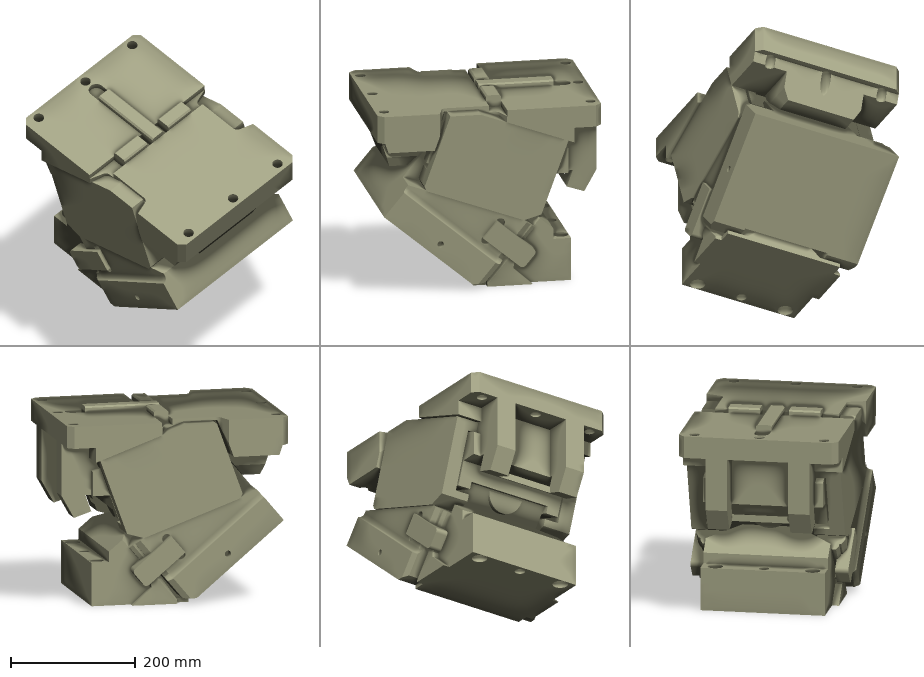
import cadquery as cq
import math

GUIDE_NORMAL_ANGLE = 40
RAMP_ANGLE = 20
REACH = 1095
CLEARANCE = 1.5

LENGTH = 365.0
HALF_WIDTH = 130.0
PLATE_TOP = 299.5
PLATE_FRONT_BOTTOM = 264.0
PLATE_REAR_BOTTOM = 254.5
PLATE_CORNER = 10.0
WING_BOTTOM = 238.7
WING_REAR, WING_REAR_BOTTOM = 354.0, 348.5
BODY_FRONT = 45.3
LEG_INNER, LEG_OUTER = 49.5, 84.5
LEG_BOTTOM = 179.0
LEG_TIP = [(20.5, 142.5), (49.0, 152.0), (39.0, LEG_BOTTOM)]
RAIL_HALF_WIDTH = 97.5
RAIL_FRONT = 48.0
RAIL_BOTTOM_LIFT, RAIL_TOP_LIFT = 100.5, 189.0
RAIL_END_RUN = 335.0
RAIL_REAR_X = 255.5
STOP_RUN = 338.5
STOP_BOTTOM, STOP_REAR = 195.0, 334.0
STOP_HALF_WIDTH = 69.5
STOP_CHAMFER_HEIGHT, STOP_CHAMFER_WIDTH = 18.0, 10.2
NOTCH_FRONT, NOTCH_REAR = 155.0, 265.0
NOTCH_TAPER = 9.5
NOTCH_INNER = 100.7
NOTCH_FILLET = 9.0
PLATE_HOLE_RADIUS = 8.5
FRONT_HOLE_X, FRONT_HOLE_Y = 14.2, 105.5
REAR_HOLE_X, REAR_HOLE_Y = 350.5, 100.5

KEY_TOP = 309.0
KEYWAY_BOTTOM = 289.5
KEYWAY_FRONT, KEYWAY_REAR = 154.8, 179.2
LONG_KEY_FRONT, LONG_KEYWAY_FRONT = 56.5, 26.5
LONG_KEY_HALF_WIDTH = 12.5
SIDE_KEY_INNER, SIDE_KEY_OUTER = 23.7, 75.0
KEY_CHAMFER = 2.5

CHEEK_HALF_WIDTH = 125.2
CHEEK_TOP = 293.0
CHEEK_FRONT_RUN, CHEEK_REAR_RUN = 133.2, 332.0
CHEEK_BOTTOM_LIFT, CHEEK_TOP_LIFT = 62.0, 208.0
CHEEK_TOE_RUN, CHEEK_TOE_LIFT = 157.0, 79.5
CHEEK_CORNER = 6.0
CHANNEL_HALF_WIDTH = 100.5
CHANNEL_FLOOR_LIFT, CHANNEL_TOP_LIFT = 91.2, 190.5
TONGUE_HALF_WIDTH = 75.0
TONGUE_LIFT = 112.5
BOSS_RADIUS = 31.8
BOSS_FRONT_RUN, BOSS_REAR_RUN = 143.5, 182.5
FLANK_HALF_WIDTH = 121.0
SLIDE_REAR_RISE = 357.5
SLIDE_TIP_Z = 11.0
SLIDE_BOTTOM_CLIMB = -127.8
JAW_TOP_CLIMB = 4.5
JAW_LEDGE_CLIMB = -68.5
JAW_UNDERSIDE_RISE, JAW_EDGE_RISE = 152.5, 161.7
JAW_CHAMFER = 5.5
TOOTH_TIP_RISE, TOOTH_EDGE_RISE = 142.0, 148.5
TOOTH_HALF_WIDTH = 112.8
TOOTH_CHAMFER = 4.0
JAW_HOLE_X, JAW_HOLE_Z = 263.5, 81.0
JAW_HOLE_RADIUS, JAW_HOLE_DEPTH = 5.0, 18.2
KEEPER_LOW_RISE, KEEPER_HIGH_RISE = 119.0, 203.5
KEEPER_LOW_CLIMB, KEEPER_HIGH_CLIMB = -58.5, -22.5
KEEPER_INNER, KEEPER_OUTER = 107.0, 128.5
KEEPER_CORNER = 6.5
RELIEF_RADIUS = 7.5
RELIEF_DEPTH = 7.3

BASE_HALF_WIDTH = 101.5
BASE_FRONT, BASE_REAR = 45.3, 205.0
BASE_REAR_TOP = 36.5
STEP_X = 74.0
STEP_LOW_Z, STEP_HIGH_Z = 70.5, 88.0
GUIDE_TOP_CLIMB = 19.53
RIDGE_RISE, EAVE_RISE = 172.3, 142.0
RIDGE_HALF_WIDTH = 45.3
LIP_HALF_WIDTH = 112.8
LIP_FRONT = 110.2
LIP_REAR, LIP_REAR_TOP = 184.0, 7.3
LIP_EDGE = [(126.3, -69.5), (131.5, -62.0), (129.5, -56.5), (150.5, -56.5)]
LIP_SECTION = [(0, LIP_HALF_WIDTH), (143.5, LIP_HALF_WIDTH), (150.5, 100.7)]
FOOT_TOP = 6.5
BOLT_HOLE_X, BOLT_HOLE_Y = 58.0, 79.2
BOLT_HOLE_RADIUS, DOWEL_HOLE_RADIUS = 12.5, 8.5


def turned_point(along, across, angle):
    """(x, z) of a point given along and square to a line at this angle from X."""
    turn = math.radians(angle)
    return (
        along * math.cos(turn) - across * math.sin(turn),
        along * math.sin(turn) + across * math.cos(turn),
    )


def guide_point(rise, climb):
    return turned_point(rise, climb, GUIDE_NORMAL_ANGLE)


def ramp_point(run, lift):
    return turned_point(run, lift, RAMP_ANGLE)


def lift_at_height(run, z):
    """Lift at which the line of constant run reaches height z."""
    turn = math.radians(RAMP_ANGLE)
    return (z - run * math.sin(turn)) / math.cos(turn)


def run_at_height(lift, z):
    """Run at which the line of constant lift reaches height z."""
    turn = math.radians(RAMP_ANGLE)
    return (z - lift * math.cos(turn)) / math.sin(turn)


def prism(points, half_width):
    """Outline in XZ, extruded equally to both sides of the middle plane."""
    return cq.Workplane("XZ").polyline(points).close().extrude(half_width, both=True)


def both_sides(feature):
    """A feature on the -Y side together with its mirror image."""
    return feature.union(feature.mirror("XZ"))


def side_prism(points, inner, outer):
    """Outline in XZ, extruded from y = -inner to y = -outer."""
    return cq.Workplane("XZ", origin=(0, -inner, 0)).polyline(points).close().extrude(outer - inner)


def box(x_range, y_range, z_range):
    size = [high - low for low, high in (x_range, y_range, z_range)]
    low_corner = (x_range[0], y_range[0], z_range[0])
    return cq.Workplane("XY").box(*size, centered=False).translate(low_corner)


def rectangle(point, along_range, across_range):
    """Corners of a rectangle laid out with guide_point or ramp_point."""
    (low, high), (bottom, top) = along_range, across_range
    return [point(low, bottom), point(high, bottom), point(high, top), point(low, top)]


def guide_block(rise_range, climb_range, half_width):
    return prism(rectangle(guide_point, rise_range, climb_range), half_width)


def ramp_block(run_range, lift_range, half_width):
    return prism(rectangle(ramp_point, run_range, lift_range), half_width)


def guide_section(half_points):
    """Half outline in (rise, y), closed by its mirror image and extruded endlessly along the guide."""
    rise_x, rise_z = guide_point(1, 0)
    plane = cq.Plane(origin=(0, 0, 0), xDir=(rise_x, 0, rise_z), normal=(rise_z, 0, -rise_x))
    points = half_points + [(rise, -y) for rise, y in reversed(half_points)]
    return cq.Workplane(plane).polyline(points).close().extrude(REACH, both=True)


def rod(radius, start, end, y=0):
    """Cylinder between two (x, z) points."""
    axis = cq.Vector(end[0] - start[0], 0, end[1] - start[1])
    return cq.Workplane(cq.Solid.makeCylinder(radius, axis.Length, cq.Vector(start[0], y, start[1]), axis))


def side_hole(radius, center, outer, depth):
    """Round cutter on the -Y side, going in from y = -outer to this depth."""
    x, z = center
    cutter = cq.Workplane("XZ", origin=(x, depth - outer, z)).circle(radius)
    return cutter.extrude(depth)


def make_plate():
    outline = [
        (0, PLATE_TOP),
        (LENGTH, PLATE_TOP),
        (LENGTH, PLATE_REAR_BOTTOM),
        (WING_REAR, PLATE_REAR_BOTTOM),
        (WING_REAR_BOTTOM, WING_BOTTOM),
        (BODY_FRONT, WING_BOTTOM),
        (BODY_FRONT, PLATE_FRONT_BOTTOM),
        (0, PLATE_FRONT_BOTTOM),
    ]
    plate = prism(outline, HALF_WIDTH)
    return plate.edges("|Z").edges("<X or >X").chamfer(PLATE_CORNER)


def make_cheek_room():
    """Space under the wings in which the slide's cheeks move."""
    room = ramp_block((0, STOP_RUN), (0, CHEEK_TOP_LIFT + CLEARANCE), HALF_WIDTH)
    below_top = box((0, LENGTH), (-HALF_WIDTH, -LEG_OUTER), (0, CHEEK_TOP + CLEARANCE))
    return both_sides(room.intersect(below_top))


def make_notches():
    """Tapered notches in both long edges of the plate, over the cheeks."""
    outline = [
        (NOTCH_FRONT, -HALF_WIDTH),
        (NOTCH_FRONT + NOTCH_TAPER, -NOTCH_INNER),
        (NOTCH_REAR - NOTCH_TAPER, -NOTCH_INNER),
        (NOTCH_REAR, -HALF_WIDTH),
    ]
    notch = cq.Workplane("XY").polyline(outline).close().extrude(PLATE_TOP)
    return both_sides(notch.edges("|Z and >Y").fillet(NOTCH_FILLET))


def make_rail():
    """Neck and T-shaped rail that run in the slide's channel, with its feet beside the tongue."""
    outline = [
        (BODY_FRONT, PLATE_FRONT_BOTTOM),
        (BODY_FRONT, LEG_BOTTOM),
        ramp_point(CHEEK_FRONT_RUN, lift_at_height(CHEEK_FRONT_RUN, LEG_BOTTOM)),
        ramp_point(CHEEK_FRONT_RUN, RAIL_BOTTOM_LIFT),
        ramp_point(RAIL_END_RUN, RAIL_BOTTOM_LIFT),
        ramp_point(RAIL_END_RUN, RAIL_TOP_LIFT),
        (RAIL_REAR_X, PLATE_FRONT_BOTTOM),
    ]
    neck = prism(outline, LEG_OUTER)
    below_lips = ramp_block((0, REACH), (0, RAIL_TOP_LIFT), RAIL_HALF_WIDTH)
    behind_front = box((RAIL_FRONT, LENGTH), (-RAIL_HALF_WIDTH, RAIL_HALF_WIDTH), (0, PLATE_TOP))
    flanges = prism(outline, RAIL_HALF_WIDTH).intersect(below_lips).intersect(behind_front)
    rail = neck.union(flanges)
    tongue_room = ramp_block((0, REACH), (0, TONGUE_LIFT), TONGUE_HALF_WIDTH)
    return rail.cut(tongue_room)


def make_legs():
    """Hooked front of the holder, split into two legs by a pocket that leaves a thin bar between them."""
    outline = [
        (0, PLATE_FRONT_BOTTOM),
        (0, LEG_BOTTOM),
        *LEG_TIP,
        (BODY_FRONT, LEG_BOTTOM),
        (BODY_FRONT, PLATE_FRONT_BOTTOM),
    ]
    pocket = box((0, BODY_FRONT), (-LEG_INNER, LEG_INNER), (0, PLATE_FRONT_BOTTOM))
    return prism(outline, LEG_OUTER).cut(pocket)


def make_stop():
    """Block under the rear of the plate, behind the slide."""
    stop = box((0, LENGTH), (-STOP_HALF_WIDTH, STOP_HALF_WIDTH), (STOP_BOTTOM, PLATE_REAR_BOTTOM))
    stop = stop.faces("<Y or >Y").edges("<Z").chamfer(STOP_CHAMFER_HEIGHT, STOP_CHAMFER_WIDTH)
    outline = [
        ramp_point(STOP_RUN, RAIL_TOP_LIFT),
        ramp_point(STOP_RUN, 0),
        (STOP_REAR, STOP_BOTTOM),
        (WING_REAR, PLATE_REAR_BOTTOM),
    ]
    stop = stop.intersect(prism(outline, STOP_HALF_WIDTH))
    slide_room = guide_block((0, SLIDE_REAR_RISE + CLEARANCE), (-REACH, REACH), STOP_HALF_WIDTH)
    return stop.cut(slide_room)


def make_keyways():
    z_range = (KEYWAY_BOTTOM, PLATE_TOP)
    round_end_x = LONG_KEYWAY_FRONT + LONG_KEY_HALF_WIDTH
    across = box((KEYWAY_FRONT, KEYWAY_REAR), (-HALF_WIDTH, HALF_WIDTH), z_range)
    along = box((round_end_x, KEYWAY_REAR), (-LONG_KEY_HALF_WIDTH, LONG_KEY_HALF_WIDTH), z_range)
    round_end = cq.Workplane("XY", origin=(round_end_x, 0, KEYWAY_BOTTOM)).circle(LONG_KEY_HALF_WIDTH)
    return across.union(along).union(round_end.extrude(PLATE_TOP - KEYWAY_BOTTOM))


def make_keys():
    z_range = (KEYWAY_BOTTOM, KEY_TOP)
    long_key = box((LONG_KEY_FRONT, KEYWAY_REAR), (-LONG_KEY_HALF_WIDTH, LONG_KEY_HALF_WIDTH), z_range)
    long_key = long_key.edges(">Z and |X").chamfer(KEY_CHAMFER)
    side_key = box((KEYWAY_FRONT, KEYWAY_REAR), (-SIDE_KEY_OUTER, -SIDE_KEY_INNER), z_range)
    side_key = side_key.edges(">Z and |Y").chamfer(KEY_CHAMFER)
    return long_key.union(both_sides(side_key))


def make_plate_holes():
    centers = [(FRONT_HOLE_X, side * FRONT_HOLE_Y) for side in (-1, 0, 1)]
    centers += [(REAR_HOLE_X, side * REAR_HOLE_Y) for side in (-1, 0, 1)]
    return cq.Workplane("XY").pushPoints(centers).circle(PLATE_HOLE_RADIUS).extrude(PLATE_TOP)


def make_holder():
    holder = make_plate().cut(make_cheek_room()).cut(make_notches())
    holder = holder.union(make_rail()).union(make_legs()).union(make_stop())
    holder = holder.cut(make_keyways()).union(make_keys())
    return holder.cut(make_plate_holes())


def make_base():
    """Block with a stepped front, a guide shaped like a roof and a thin foot under the guide's end."""
    outline = [
        (BASE_FRONT, 0),
        (BASE_FRONT, STEP_LOW_Z),
        (STEP_X, STEP_LOW_Z),
        (STEP_X, STEP_HIGH_Z),
        guide_point(RIDGE_RISE, GUIDE_TOP_CLIMB),
        (BASE_REAR, BASE_REAR_TOP),
        (BASE_REAR, 0),
    ]
    roof = [(0, BASE_HALF_WIDTH), (EAVE_RISE, BASE_HALF_WIDTH), (RIDGE_RISE, RIDGE_HALF_WIDTH)]
    base = prism(outline, BASE_HALF_WIDTH).intersect(guide_section(roof))
    foot = box((LIP_FRONT, BASE_REAR), (-BASE_HALF_WIDTH, BASE_HALF_WIDTH), (0, FOOT_TOP))
    return base.union(foot)


def make_lips():
    """Side lips low on the driver, under the keepers."""
    edge = [guide_point(rise, climb) for rise, climb in LIP_EDGE]
    outline = [(LIP_FRONT, 0), *edge, (LIP_REAR, LIP_REAR_TOP), (LIP_REAR, 0)]
    lip = side_prism(outline, RIDGE_HALF_WIDTH, LIP_HALF_WIDTH)
    return both_sides(lip).intersect(guide_section(LIP_SECTION))


def make_driver():
    driver = make_base().union(make_lips())
    bolt_centers = [(BOLT_HOLE_X, -BOLT_HOLE_Y), (BOLT_HOLE_X, BOLT_HOLE_Y)]
    bolt_holes = cq.Workplane("XY").pushPoints(bolt_centers).circle(BOLT_HOLE_RADIUS)
    dowel_hole = cq.Workplane("XY").center(BOLT_HOLE_X, 0).circle(DOWEL_HOLE_RADIUS)
    return driver.cut(bolt_holes.extrude(STEP_LOW_Z)).cut(dowel_hole.extrude(STEP_LOW_Z))


def make_cheeks():
    """Tilted upper block of the slide, whose two sides reach up through the plate's notches."""
    outline = [
        ramp_point(CHEEK_FRONT_RUN, CHEEK_TOP_LIFT),
        ramp_point(run_at_height(CHEEK_TOP_LIFT, CHEEK_TOP), CHEEK_TOP_LIFT),
        ramp_point(CHEEK_REAR_RUN, lift_at_height(CHEEK_REAR_RUN, CHEEK_TOP)),
        ramp_point(CHEEK_REAR_RUN, CHEEK_BOTTOM_LIFT + CHEEK_CORNER),
        ramp_point(CHEEK_REAR_RUN - CHEEK_CORNER, CHEEK_BOTTOM_LIFT),
        ramp_point(CHEEK_TOE_RUN, CHEEK_BOTTOM_LIFT),
        ramp_point(CHEEK_FRONT_RUN, CHEEK_TOE_LIFT),
    ]
    return prism(outline, CHEEK_HALF_WIDTH)


def jaw_section(half_width):
    """Body of this half width with chamfered lower edges and a narrower tooth beside the driver's eaves."""
    return guide_section(
        [
            (SLIDE_REAR_RISE, half_width),
            (JAW_EDGE_RISE, half_width),
            (JAW_UNDERSIDE_RISE, half_width - JAW_CHAMFER),
            (JAW_UNDERSIDE_RISE, TOOTH_HALF_WIDTH),
            (TOOTH_EDGE_RISE, TOOTH_HALF_WIDTH),
            (TOOTH_TIP_RISE, TOOTH_HALF_WIDTH - TOOTH_CHAMFER),
        ]
    )


def make_jaw_body():
    """Lower block that wraps the guide, with wide jaws whose upper ledges are rounded hollows."""
    jaws = guide_block((0, REACH), (SLIDE_BOTTOM_CLIMB, JAW_LEDGE_CLIMB), HALF_WIDTH)
    ledge_start, ledge_end = guide_point(0, JAW_LEDGE_CLIMB), guide_point(REACH, JAW_LEDGE_CLIMB)
    ledge_hollow = rod(HALF_WIDTH - FLANK_HALF_WIDTH, ledge_start, ledge_end, -HALF_WIDTH)
    jaws = jaws.cut(both_sides(ledge_hollow)).intersect(jaw_section(HALF_WIDTH))

    flanks = guide_block((0, REACH), (SLIDE_BOTTOM_CLIMB, JAW_TOP_CLIMB), FLANK_HALF_WIDTH)
    flanks = flanks.intersect(jaw_section(FLANK_HALF_WIDTH))
    below_cheeks = ramp_block((0, REACH), (-REACH, CHEEK_BOTTOM_LIFT), FLANK_HALF_WIDTH)
    tongue = ramp_block((0, REACH), (-REACH, TONGUE_LIFT), TONGUE_HALF_WIDTH)
    body = jaws.union(flanks.intersect(below_cheeks.union(tongue)))

    tooth_end = guide_block((0, JAW_UNDERSIDE_RISE), (SLIDE_BOTTOM_CLIMB, KEEPER_LOW_CLIMB), HALF_WIDTH)
    below_tip = box((0, LENGTH), (-HALF_WIDTH, HALF_WIDTH), (-REACH, SLIDE_TIP_Z))
    return body.cut(tooth_end).cut(below_tip)


def make_channel():
    """Room for the holder's T-shaped rail, leaving the tongue standing."""
    channel = ramp_block((0, REACH), (CHANNEL_FLOOR_LIFT, CHANNEL_TOP_LIFT), CHANNEL_HALF_WIDTH)
    channel = channel.union(ramp_block((0, REACH), (CHANNEL_FLOOR_LIFT, REACH), LEG_OUTER))
    tongue = guide_block((RIDGE_RISE, REACH), (-REACH, REACH), TONGUE_HALF_WIDTH)
    tongue = tongue.intersect(ramp_block((0, REACH), (0, TONGUE_LIFT), TONGUE_HALF_WIDTH))
    throat = guide_block((0, RIDGE_RISE), (SLIDE_BOTTOM_CLIMB, REACH), TONGUE_HALF_WIDTH)
    return channel.cut(tongue).union(throat)


def make_boss():
    """Half-round boss under the front of the tongue."""
    boss = rod(
        BOSS_RADIUS,
        ramp_point(BOSS_FRONT_RUN, TONGUE_LIFT),
        ramp_point(BOSS_REAR_RUN, TONGUE_LIFT),
    )
    return boss.intersect(ramp_block((0, REACH), (0, TONGUE_LIFT), BOSS_RADIUS))


def make_keepers():
    """Plates on the slide's sides that reach down past the driver's eaves."""
    rise_range = (KEEPER_LOW_RISE, KEEPER_HIGH_RISE)
    climb_range = (KEEPER_LOW_CLIMB, KEEPER_HIGH_CLIMB)
    keeper = side_prism(rectangle(guide_point, rise_range, climb_range), KEEPER_INNER, KEEPER_OUTER)
    low_x, low_z = guide_point(1, 0)
    low_end = keeper.faces(cq.DirectionMinMaxSelector(cq.Vector(low_x, 0, low_z), False))
    return both_sides(low_end.edges("|Y").fillet(KEEPER_CORNER))


def make_reliefs():
    """Round corner reliefs in the slide's flanks at the keepers' upper ends."""
    rise = KEEPER_HIGH_RISE - RELIEF_RADIUS
    low, high = [
        side_hole(RELIEF_RADIUS, guide_point(rise, climb), FLANK_HALF_WIDTH, RELIEF_DEPTH)
        for climb in (KEEPER_LOW_CLIMB, KEEPER_HIGH_CLIMB)
    ]
    return both_sides(low.union(high))


def make_slide():
    slide = make_cheeks().union(make_jaw_body()).cut(make_channel())
    slide = slide.union(make_boss()).cut(make_reliefs()).union(make_keepers())
    jaw_hole = side_hole(JAW_HOLE_RADIUS, (JAW_HOLE_X, JAW_HOLE_Z), HALF_WIDTH, JAW_HOLE_DEPTH)
    return slide.cut(both_sides(jaw_hole))


holder = make_holder()
driver = make_driver()
slide = make_slide().cut(driver)

result = cq.Compound.makeCompound([holder.val(), slide.val(), driver.val()])